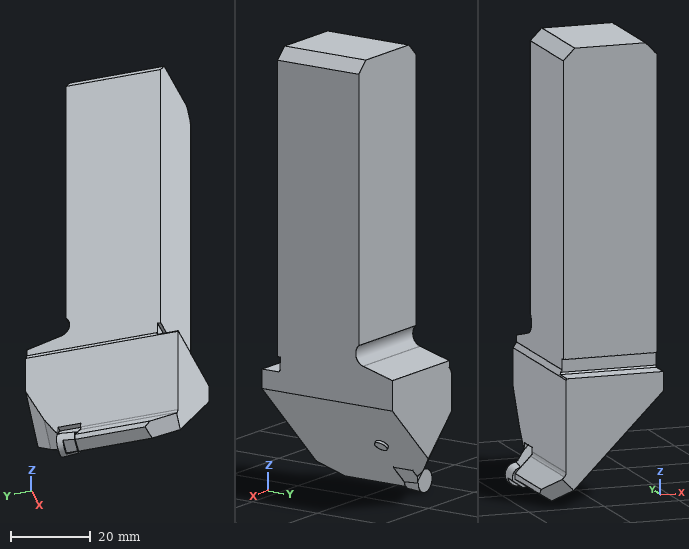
import cadquery as cq
import math

total_height = 117.4
shank_size = 25.0
shank_chamfer = 3.0

head_left = -0.9
head_front = -4.8
head_back = 35.3
left_bevel_top = 34.6
left_bevel_bottom = 33.2
front_ledge_height = 33.6
front_recess_top = 37.5
front_recess_depth = 0.8
front_recess_chamfer = 0.5

undercut_radius = 3.0
undercut_center_y = 27.1
undercut_center_z = 41.8
shoulder_slope = math.radians(15)

underside_offset = 3.5
blade_top_offset = 9.7
blade_tip_x = -5.5
blade_tip_lower_z = 2.7
blade_tip_bottom_z = 0.9
blade_fillet = 1.5

side_top = (head_back, 15.7)
side_knee = (30.4, 8.9)
side_foot = (26.8, 5.2)
side_nose = (25.4, 2.3)
front_cut_start = 4.1
front_cut_slope = 0.85
outline_low = -7.0
outline_high = 2 * total_height

seat_front = 20.8
seat_back = side_foot[0]
seat_roof_z = 10.6
nose_x = -3.5
nose_z = 3.0
nose_radius = 3.0
nose_small_radius = 2.7
relief_back = 23.7
relief_upper = (-6.3, 2.5)
relief_lower = (-3.5, 0.5)

screw_radius = 1.8
screw_projection = 0.7
screw_x = 11.9
screw_y = 22.9


def prism_along_y(points, y_start, y_end):
    """Extrude an (x, z) polygon from y_start to y_end."""
    plane = cq.Plane(origin=(0, y_start, 0), xDir=(1, 0, 0), normal=(0, -1, 0))
    return cq.Workplane(plane).polyline(points).close().extrude(y_start - y_end)


def make_front_profile():
    """Shank, left bevel, sloping underside and blade, as a prism along Y."""
    c = shank_chamfer
    points = [
        (c, total_height),
        (shank_size - c, total_height),
        (shank_size, total_height - c),
        (shank_size, shank_size + underside_offset),
        (blade_tip_bottom_z - underside_offset, blade_tip_bottom_z),
        (blade_tip_x, blade_tip_lower_z),
        (blade_tip_x, blade_tip_x + blade_top_offset),
        (head_left, head_left + blade_top_offset),
        (head_left, left_bevel_bottom),
        (0, left_bevel_top),
        (0, total_height - c),
    ]
    prism = prism_along_y(points, head_front, head_back)
    corner = cq.selectors.NearestToPointSelector(
        (head_left, (head_front + head_back) / 2, head_left + blade_top_offset)
    )
    return prism.edges(corner).fillet(blade_fillet)


def make_side_profile():
    """Shank with its front recess, back undercut and shoulder, as a prism along X."""
    arc_start_rise = math.sqrt(undercut_radius**2 - (undercut_center_y - shank_size) ** 2)
    arc_end_y = undercut_center_y - undercut_radius * math.sin(shoulder_slope)
    arc_end_z = undercut_center_z - undercut_radius * math.cos(shoulder_slope)
    shoulder_z = arc_end_z - (head_back - arc_end_y) * math.tan(shoulder_slope)
    recess, c = front_recess_depth, front_recess_chamfer
    return (
        cq.Workplane("YZ", origin=(blade_tip_x, 0, 0))
        .moveTo(head_front, 0)
        .lineTo(head_front, front_ledge_height)
        .lineTo(recess - c, front_ledge_height)
        .lineTo(recess, front_ledge_height + c)
        .lineTo(recess, front_recess_top)
        .lineTo(0, front_recess_top)
        .lineTo(0, total_height)
        .lineTo(shank_size, total_height)
        .lineTo(shank_size, undercut_center_z + arc_start_rise)
        .threePointArc((undercut_center_y - undercut_radius, undercut_center_z), (arc_end_y, arc_end_z))
        .lineTo(head_back, shoulder_z)
        .lineTo(head_back, 0)
        .close()
        .extrude(shank_size - blade_tip_x)
    )


def make_blade_outline():
    """Outline across the blade, extruded square to the 45 degree underside."""
    plane = cq.Plane(origin=(0, 0, 0), xDir=(0, 1, 0), normal=(1, 0, -1))
    cut_end_y = head_front + (front_cut_start - outline_low) / front_cut_slope
    points = [
        (head_front, outline_high),
        (head_front, front_cut_start),
        (cut_end_y, outline_low),
        (side_nose[0], outline_low),
        side_nose,
        side_foot,
        side_knee,
        side_top,
        (head_back, outline_high),
    ]
    return cq.Workplane(plane).polyline(points).close().extrude(total_height, both=True)


def make_insert_neck(outline):
    """Strip of the blade that runs from the seat wall down into the nose."""
    seat_x = seat_roof_z - blade_top_offset
    mid_offset = (underside_offset + blade_top_offset) / 2
    half_step = (blade_top_offset - underside_offset) / 2
    wall_bottom_x = seat_x + half_step
    nose_mid_x = (nose_x + nose_z - mid_offset) / 2
    points = [
        (seat_x, seat_roof_z),
        (wall_bottom_x, wall_bottom_x + underside_offset),
        (nose_mid_x + half_step / 2, nose_mid_x + half_step / 2 + underside_offset),
        (nose_mid_x - half_step / 2, nose_mid_x - half_step / 2 + blade_top_offset),
    ]
    return prism_along_y(points, seat_front, seat_back).intersect(outline)


def make_relief():
    """Wedge that leaves a flat under the small end of the nose."""
    points = [
        relief_upper,
        relief_lower,
        (relief_lower[0], -nose_radius),
        (2 * relief_upper[0], -nose_radius),
        (2 * relief_upper[0], relief_upper[1]),
    ]
    return prism_along_y(points, seat_front, relief_back)


def make_insert(outline):
    """Neck and tapered round nose, relieved underneath."""
    nose_back = side_nose[0]
    nose = (
        cq.Workplane("XZ", origin=(nose_x, nose_back, nose_z))
        .circle(nose_radius)
        .workplane(offset=nose_back - seat_front)
        .circle(nose_small_radius)
        .loft()
    )
    return make_insert_neck(outline).union(nose).cut(make_relief())


def make_seat():
    """Flat-roofed slot through the lower end of the blade that receives the insert."""
    seat_x = seat_roof_z - blade_top_offset
    wall_bottom_x = seat_x + (blade_top_offset - underside_offset) / 2
    clear_x = 2 * blade_tip_x
    wall_bottom = (wall_bottom_x, wall_bottom_x + underside_offset)
    points = [
        (clear_x, seat_roof_z),
        (seat_x, seat_roof_z),
        wall_bottom,
        (wall_bottom[0], clear_x),
        (clear_x, clear_x),
    ]
    return prism_along_y(points, seat_front, seat_back)


def make_screw_end():
    """Round boss standing out of the underside."""
    origin = (screw_x, screw_y, screw_x + underside_offset)
    plane = cq.Plane(origin=origin, xDir=(0, 1, 0), normal=(1, 0, -1))
    return (
        cq.Workplane(plane)
        .workplane(offset=-screw_projection)
        .circle(screw_radius)
        .extrude(2 * screw_projection)
    )


blade_outline = make_blade_outline()
insert = make_insert(blade_outline)

holder = make_front_profile().intersect(make_side_profile()).intersect(blade_outline)
holder = holder.cut(make_seat()).union(make_screw_end())

result = cq.Compound.makeCompound([holder.val(), insert.val()])